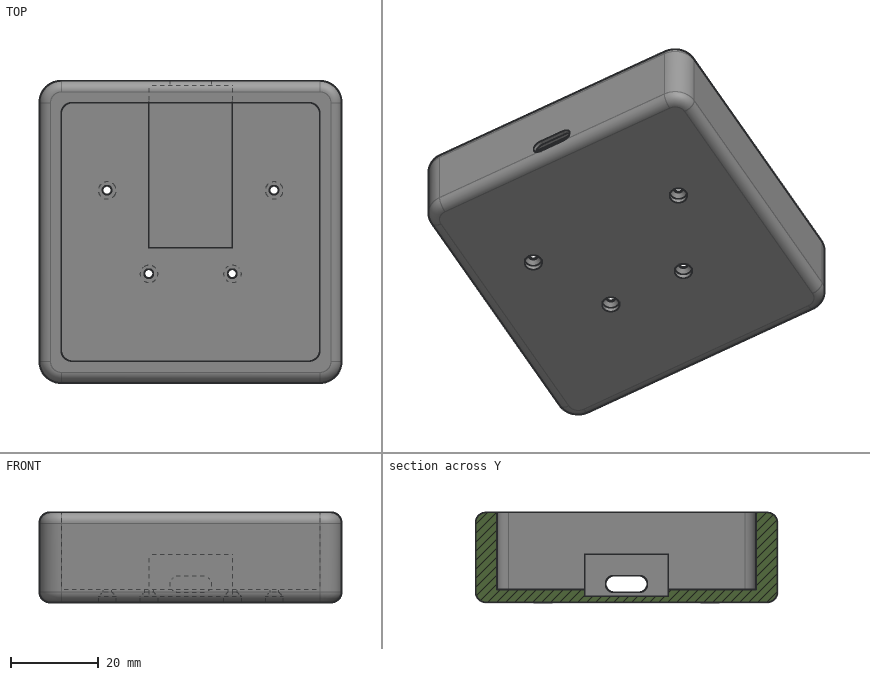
import cadquery as cq

side = 68.85
height = 20.6
corner_radius = 5.0
edge_fillet = 2.5

wall = 5.0
floor_thickness = 3.0
cavity_side = side - 2 * wall
cavity_corner_radius = 2.5

pocket_width = 19.0
pocket_length = 37.0
pocket_floor = 1.5
pocket_height = 9.5
pocket_end_wall = 1.0

slot_length = 9.45
slot_height = 3.75
slot_center_z = pocket_floor + 2.75

hole_diameter = 2.0
head_diameter = 4.0
head_recess_depth = 1.5
head_cone_depth = 1.0
hole_offset_y = 9.5
rear_hole_offset_x = 19.0
front_hole_offset_x = 9.5


def outer_body():
    """Square block with rounded corners and rounded top and bottom rims."""
    block = cq.Workplane("XY").box(side, side, height, centered=(True, True, False))
    return block.edges("|Z").fillet(corner_radius).faces("<Z or >Z").edges().fillet(edge_fillet)


def cavity():
    """Main cavity from the floor up to the open top."""
    block = cq.Workplane("XY", origin=(0, 0, floor_thickness)).box(
        cavity_side, cavity_side, height - floor_thickness, centered=(True, True, False)
    )
    return block.edges("|Z").fillet(cavity_corner_radius)


def board_pocket():
    """Rectangular pocket that ends at the thin part of the +Y wall."""
    center_y = side / 2 - pocket_end_wall - pocket_length / 2
    return cq.Workplane("XY", origin=(0, center_y, pocket_floor)).box(
        pocket_width, pocket_length, pocket_height, centered=(True, True, False)
    )


def connector_slot():
    """Round-ended slot along X, cut through the thin +Y wall."""
    return (
        cq.Workplane("XZ", origin=(0, side / 2, slot_center_z))
        .slot2D(slot_length, slot_height)
        .extrude(2 * pocket_end_wall)
    )


def screw_hole():
    """Body of revolution on Z: wide head recess, cone and narrow shank from the bottom up."""
    shank_radius = hole_diameter / 2
    head_radius = head_diameter / 2
    cone_top = head_recess_depth + head_cone_depth
    return (
        cq.Workplane("XZ")
        .polyline([
            (0, 0),
            (head_radius, 0),
            (head_radius, head_recess_depth),
            (shank_radius, cone_top),
            (shank_radius, floor_thickness),
            (0, floor_thickness),
        ])
        .close()
        .revolve(360, (0, 0, 0), (0, 1, 0))
    )


def screw_holes():
    """Two pairs of holes, the rear pair spaced wider than the front pair."""
    centers = []
    for offset_x, y in ((rear_hole_offset_x, hole_offset_y), (front_hole_offset_x, -hole_offset_y)):
        centers.append((-offset_x, y))
        centers.append((offset_x, y))
    hole = screw_hole().val()
    return cq.Workplane("XY").pushPoints(centers).eachpoint(hole, combine=False)


result = (
    outer_body()
    .cut(cavity())
    .cut(board_pocket())
    .cut(connector_slot())
    .cut(screw_holes())
)